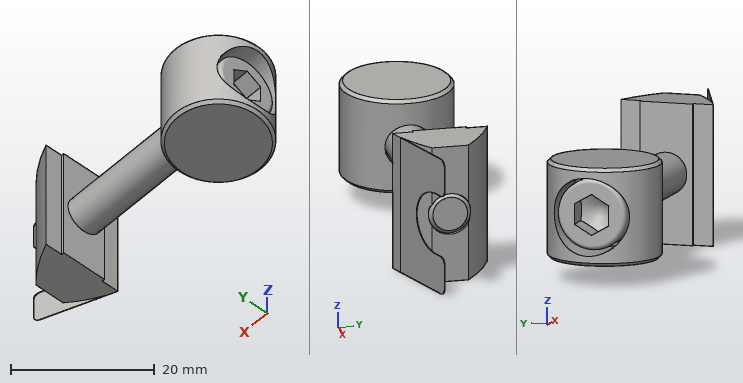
import cadquery as cq
import math


barrel_diameter = 16.0
barrel_height = 13.85
barrel_chamfer = 0.5
clearance_diameter = 6.5
counterbore_diameter = 11.0

head_diameter = 10.0
head_height = 6.0
head_fillet = 0.6
shank_diameter = 6.0
tip_diameter = 4.95
tip_chamfer = (shank_diameter - tip_diameter) / 2
head_seat_x = 0.0
head_face_x = head_seat_x - head_height
hex_across_flats = 5.0
hex_corner_diameter = hex_across_flats / math.cos(math.pi / 6)
hex_depth = 3.0
hex_cone_depth = 1.45

nut_height = 20.0
nut_boss_x = 27.8
nut_shoulder_x = 28.25
nut_end_x = 34.95
nut_half_width = 6.75
nut_boss_half_width = 3.85
nut_end_half_width = 2.55
flank_sagitta = 0.355
tongue_end_x = 48.45 - barrel_diameter / 2
tongue_end_y = -2.05
tongue_thickness = 0.1
tongue_corner_radius = 0.95
notch_width = 8.9
notch_bottom_x = 33.85


def x_cylinder(diameter, start_x, end_x):
    """Cylinder on the screw axis between two X positions."""
    return cq.Workplane("YZ", origin=(start_x, 0, 0)).circle(diameter / 2).extrude(end_x - start_x)


def make_barrel():
    radius = barrel_diameter / 2
    body = cq.Workplane("XY").circle(radius).extrude(barrel_height / 2, both=True)
    body = body.faces("|Z").chamfer(barrel_chamfer)
    body = body.cut(x_cylinder(clearance_diameter, -radius, radius))
    return body.cut(x_cylinder(counterbore_diameter, -radius, head_seat_x))


def make_hex_socket():
    """Hexagonal recess with a conical floor."""
    cone_base_x = head_face_x + hex_depth
    cone_tip_x = cone_base_x + hex_cone_depth
    hexagon = (
        cq.Workplane("YZ", origin=(head_face_x, 0, 0))
        .polygon(6, hex_corner_diameter)
        .extrude(cone_tip_x - head_face_x)
        .rotate((0, 0, 0), (1, 0, 0), 90)
    )
    bore = x_cylinder(hex_corner_diameter, head_face_x, cone_base_x)
    cone = cq.Solid.makeCone(
        hex_corner_diameter / 2, 0, hex_cone_depth, pnt=cq.Vector(cone_base_x, 0, 0), dir=cq.Vector(1, 0, 0)
    )
    return hexagon.intersect(bore.union(cq.Workplane(cone)))


def make_screw():
    """Socket head screw whose chamfered tip ends flush with the far face of the nut."""
    head = x_cylinder(head_diameter, head_face_x, head_seat_x).faces("<X").edges().fillet(head_fillet)
    shank = x_cylinder(shank_diameter, head_seat_x, nut_end_x).faces(">X").chamfer(tip_chamfer)
    return head.union(shank).cut(make_hex_socket())


def make_nut_block():
    middle_x = (nut_shoulder_x + nut_end_x) / 2
    middle_half_width = (nut_half_width + nut_end_half_width) / 2
    flank_length_x = nut_end_x - nut_shoulder_x
    flank_length_y = nut_half_width - nut_end_half_width
    flank_chord = math.hypot(flank_length_x, flank_length_y)
    bulge_x = middle_x + flank_sagitta * flank_length_y / flank_chord
    bulge_y = middle_half_width + flank_sagitta * flank_length_x / flank_chord
    return (
        cq.Workplane("XY")
        .moveTo(nut_boss_x, -nut_boss_half_width)
        .lineTo(nut_shoulder_x, -nut_boss_half_width)
        .lineTo(nut_shoulder_x, -nut_half_width)
        .threePointArc((bulge_x, -bulge_y), (nut_end_x, -nut_end_half_width))
        .lineTo(nut_end_x, nut_end_half_width)
        .threePointArc((bulge_x, bulge_y), (nut_shoulder_x, nut_half_width))
        .lineTo(nut_shoulder_x, nut_boss_half_width)
        .lineTo(nut_boss_x, nut_boss_half_width)
        .close()
        .extrude(nut_height / 2, both=True)
    )


def make_tongue():
    """Thin sheet leaving the nut's -Y corner, with a round-bottomed notch in its free end."""
    slope = math.atan2(tongue_end_y + nut_half_width, tongue_end_x - nut_shoulder_x)
    offset_x = -tongue_thickness * math.sin(slope)
    offset_y = tongue_thickness * math.cos(slope)
    sheet = (
        cq.Workplane("XY")
        .moveTo(nut_shoulder_x, -nut_half_width)
        .lineTo(tongue_end_x, tongue_end_y)
        .lineTo(tongue_end_x + offset_x, tongue_end_y + offset_y)
        .lineTo(nut_shoulder_x, -nut_half_width + tongue_thickness / math.cos(slope))
        .close()
        .extrude(nut_height / 2, both=True)
    )
    outline = (
        cq.Workplane("XZ")
        .moveTo(nut_shoulder_x, -nut_height / 2)
        .lineTo(tongue_end_x, -nut_height / 2)
        .lineTo(tongue_end_x, nut_height / 2)
        .lineTo(nut_shoulder_x, nut_height / 2)
        .close()
        .extrude(nut_half_width)
    )
    notch_centre_x = notch_bottom_x + notch_width / 2
    notch = (
        cq.Workplane("XZ")
        .moveTo(tongue_end_x, -notch_width / 2)
        .lineTo(notch_centre_x, -notch_width / 2)
        .threePointArc((notch_bottom_x, 0), (notch_centre_x, notch_width / 2))
        .lineTo(tongue_end_x, notch_width / 2)
        .close()
        .extrude(nut_half_width)
    )
    outline = outline.cut(notch).edges("|Y and >X").fillet(tongue_corner_radius)
    return sheet.intersect(outline)


def make_nut():
    screw_hole = x_cylinder(shank_diameter, nut_boss_x, nut_end_x)
    return make_nut_block().cut(screw_hole).union(make_tongue())


barrel = make_barrel()
screw = make_screw()
nut = make_nut()

result = cq.Compound.makeCompound([barrel.val(), screw.val(), nut.val()])